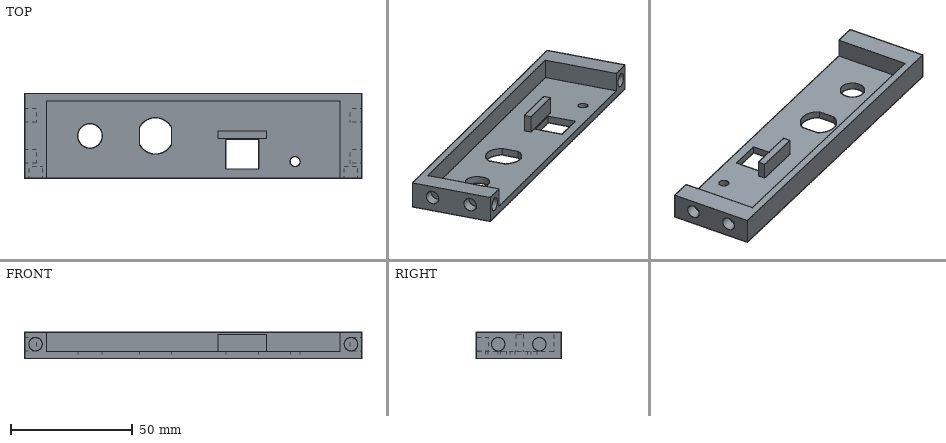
import cadquery as cq

length = 139.0
width = 35.0
height = 11.0
end_wall = 9.0
back_wall = 3.0
floor = 3.0

blind_diameter = 5.5
blind_depth = 5.0
blind_height = 6.0
side_hole_inset = 9.0

round_diameter = 10.0
round_x = 27.0
flatted_diameter = 14.9
flatted_width = 13.0
flatted_x = 54.0
small_diameter = 4.0
small_x = 111.5
small_y = 7.0
window_length = 13.5
window_width = 12.1
window_y = 3.9

tab_x = 89.7
tab_length = 20.0
tab_thickness = 3.0
tab_height = 7.0
tab_y = 16.4


def box_at(x, y, z, size_x, size_y, size_z):
    """Box with its lowest corner at (x, y, z)."""
    return cq.Workplane("XY").box(size_x, size_y, size_z, centered=False).translate((x, y, z))


def floor_hole(x, y, diameter):
    """Round cutter passing through the floor."""
    return cq.Workplane("XY").center(x, y).circle(diameter / 2).extrude(floor)


def blind_hole(start, direction):
    """Round cutter running from an outer face into an end wall."""
    return cq.Workplane(cq.Solid.makeCylinder(
        blind_diameter / 2, blind_depth, cq.Vector(*start), cq.Vector(*direction)))


pocket_length = length - 2 * end_wall
pocket = box_at(end_wall, 0, floor, pocket_length, width - back_wall, height - floor)
result = box_at(0, 0, 0, length, width, height).cut(pocket)

result = result.union(
    box_at(tab_x - tab_length / 2, tab_y, floor, tab_length, tab_thickness, tab_height))

result = result.cut(floor_hole(round_x, width / 2, round_diameter))
result = result.cut(floor_hole(small_x, small_y, small_diameter))

flats = box_at(flatted_x - flatted_width / 2, 0, 0, flatted_width, width, floor)
result = result.cut(floor_hole(flatted_x, width / 2, flatted_diameter).intersect(flats))

result = result.cut(
    box_at(tab_x - window_length / 2, window_y, 0, window_length, window_width, floor))

for outer_x, inward in ((0, 1), (length, -1)):
    front_x = outer_x + inward * end_wall / 2
    result = result.cut(blind_hole((front_x, 0, blind_height), (0, 1, 0)))
    for side_y in (side_hole_inset, width - side_hole_inset):
        result = result.cut(blind_hole((outer_x, side_y, blind_height), (inward, 0, 0)))